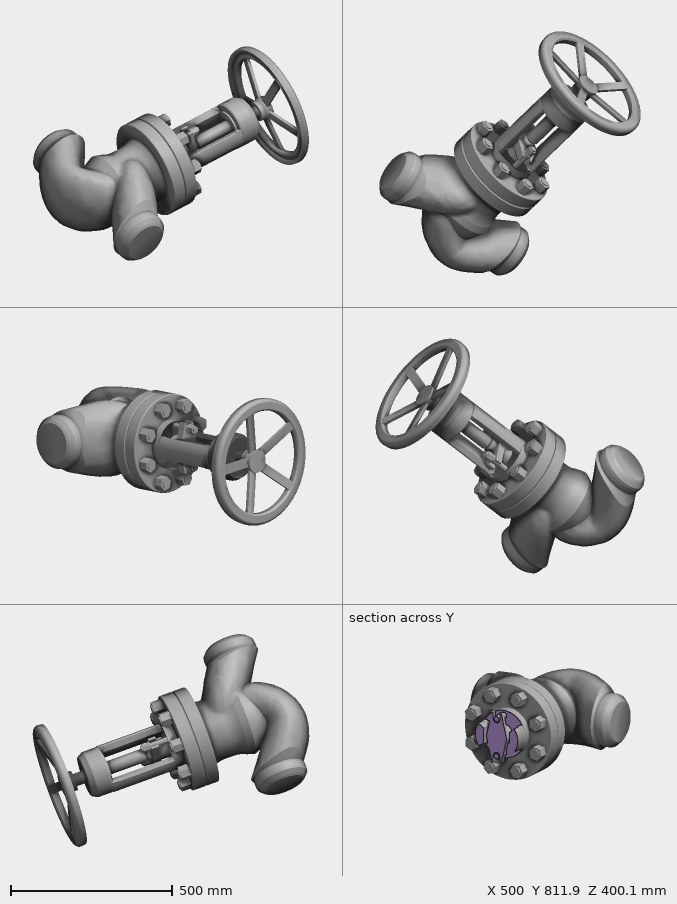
import cadquery as cq
import math


FACE_TO_FACE = 500.0
TOTAL_HEIGHT = 811.97
BODY_BOTTOM_Y = -145.0
TOP_Y = BODY_BOTTOM_Y + TOTAL_HEIGHT
OVERLAP = 1.0

WELD_FACE_R = 64.0
WELD_EDGE_R = 71.0
WELD_PIPE_R = 83.0
WELD_BAND_R = 84.5
WELD_EDGE_LEN = 5.0
WELD_BEVEL_LEN = 18.0
WELD_BAND_STEP = 9.0
WELD_BAND_LEN = 31.0
PIPE_TRIM_X = FACE_TO_FACE / 2 - WELD_BEVEL_LEN - WELD_BAND_LEN

SEAM_FILLET_R = 16.0
SEAM_REACH = 150.0

FLANGE_R = 155.5
FLANGE_THICK = 41.0
FLANGE_GAP = 3.0
FLANGE_BEVEL = 2.0
GASKET_R = 150.0
LOWER_FLANGE_Y = 179.5
UPPER_FLANGE_Y = LOWER_FLANGE_Y + FLANGE_THICK + FLANGE_GAP
FLANGE_TOP_Y = UPPER_FLANGE_Y + FLANGE_THICK

BOLT_COUNT = 8
BOLT_CIRCLE_R = 124.5
BOLT_R = 14.0
BOLT_NUT_CORNERS = 45.5
BOLT_NUT_HEIGHT = 32.0
BOLT_NUT_TURN = math.radians(-67.5)
BOLT_END = 4.0

BASE_R = 77.0
BASE_TOP_Y = 293.0
HEAD_R = 74.5
HEAD_BOTTOM_Y = 499.0
HEAD_TOP_Y = 568.0
HEAD_BEVEL_R = 10.0
HEAD_BEVEL_LEN = 18.0
HEAD_EDGE = 2.0
PAD_R = 52.0
PAD_THICK = 6.0
PAD_BORE_R = 28.0
LEG_OUTER_X = 77.0
LEG_CORNER_X = 65.0
LEG_LIP_X = 61.0
LEG_INNER_X = 45.0
LEG_HALF_Z = 35.0
LEG_INNER_HALF_Z = 25.0
LEG_COLLAR_LEN = 18.0
LEG_COLLAR_HALF_Z = 37.0
LEG_FOOT_LEN = 17.0
LEG_GUSSET = 12.0

STEM_R = 21.5
STEM_TIP_R = 14.0
STEM_TIP_Y = 367.0
STEM_TIP_LEN = 7.0
SPINDLE_R = 19.8
GLAND_BODY_R = 32.0
GLAND_PLATE_Y = 327.0
GLAND_PLATE_TOP_Y = 350.0
GLAND_PLATE_HALF_X = 37.0
GLAND_PLATE_HALF_Z = 80.0
GLAND_END_HALF_X = 18.0
GLAND_NECK_R = 22.0
GLAND_NECK_TOP_Y = 359.0
GLAND_SLOT_W = 22.0
GLAND_STUD_Z = 60.0
GLAND_STUD_R = 9.5
GLAND_STUD_TOP_Y = 380.0
GLAND_WASHER_R = 15.0
GLAND_WASHER_THICK = 5.0
GLAND_NUT_CORNERS = 28.0
GLAND_NUT_HEIGHT = 20.0

WHEEL_R = 200.0
WHEEL_INNER_R = 162.5
WHEEL_THICK = 30.0
WHEEL_BOTTOM_Y = TOP_Y - WHEEL_THICK
SPOKE_COUNT = 5
SPOKE_W = 28.0
HUB_BOTTOM_Y = 603.0
HUB_TOP_Y = 645.0
HUB_R = 32.0
HUB_FLARE_R = 36.0


def revolve_about_stem(profile):
    """Turn a closed (radius, Y) outline about the Y axis."""
    return profile.close().revolve(360, (0, 0, 0), (0, 1, 0))


def disc(radius, bottom_y, top_y):
    """Cylinder on the stem axis."""
    return post(radius, bottom_y, top_y, 0, 0)


def post(radius, bottom_y, top_y, x, z):
    """Cylinder parallel to the stem, centred on (x, z)."""
    plane = cq.Plane(origin=(x, bottom_y, z), xDir=(0, 0, 1), normal=(0, 1, 0))
    return cq.Workplane(plane).circle(radius).extrude(top_y - bottom_y)


def hex_nut(corners, bottom_y, height, x, z, corner_angle):
    """Hexagonal prism parallel to the stem with one corner at the given angle from +X to +Z."""
    corner_direction = (math.cos(corner_angle), 0, math.sin(corner_angle))
    plane = cq.Plane(origin=(x, bottom_y, z), xDir=corner_direction, normal=(0, 1, 0))
    return cq.Workplane(plane).polygon(6, corners).extrude(height)


def pipe_section(x, y, heading, half_in_plane, half_z):
    """Elliptical pipe section whose normal lies in the XY plane at the given heading."""
    angle = math.radians(heading)
    plane = cq.Plane(origin=(x, y, 0), xDir=(0, 0, 1),
                     normal=(math.cos(angle), math.sin(angle), 0))
    return cq.Workplane(plane).ellipse(half_z, half_in_plane).wires().val()


def pipe_through(stations):
    """Smooth pipe through stations of (x, y, heading, half_in_plane, half_z)."""
    wires = [pipe_section(*station) for station in stations]
    return cq.Workplane(cq.Solid.makeLoft(wires))


def weld_end():
    """Bevelled butt-weld end on the -X side."""
    face_x = -FACE_TO_FACE / 2
    taper_x = face_x + WELD_BEVEL_LEN
    return (
        cq.Workplane("XY")
        .moveTo(face_x, 0)
        .lineTo(face_x, WELD_FACE_R)
        .lineTo(face_x + WELD_EDGE_LEN, WELD_EDGE_R)
        .lineTo(taper_x, WELD_PIPE_R)
        .lineTo(taper_x + WELD_BAND_STEP, WELD_BAND_R)
        .lineTo(-PIPE_TRIM_X - WELD_BAND_STEP, WELD_BAND_R)
        .lineTo(-PIPE_TRIM_X, WELD_PIPE_R)
        .lineTo(-PIPE_TRIM_X, 0)
        .close()
        .revolve(360, (0, 0, 0), (1, 0, 0))
    )


def pipe_envelope():
    """Space between the weld ends, coned at 45 degrees, that trims both pipe ends."""
    return (
        cq.Workplane("XY")
        .moveTo(-PIPE_TRIM_X, 0)
        .lineTo(-PIPE_TRIM_X, WELD_PIPE_R)
        .lineTo(0, WELD_PIPE_R + PIPE_TRIM_X)
        .lineTo(PIPE_TRIM_X, WELD_PIPE_R)
        .lineTo(PIPE_TRIM_X, 0)
        .close()
        .revolve(360, (0, 0, 0), (1, 0, 0))
    )


def inlet_elbow():
    """Flattened pipe that dips below the axis and curls up under the seat."""
    return pipe_through([
        (-245, 31, -32, 73, 93),
        (-187, -6, -33, 72, 102),
        (-126, -49, -30, 71, 113),
        (-62, -73.5, 3, 71.5, 120),
        (-8, -50, 45, 74, 118),
        (25, -6, 68, 72, 108),
        (34, 55, 90, 60, 86),
    ])


def outlet_pipe():
    """Flattened straight pipe rising from the outlet into the neck."""
    return pipe_through([
        (245, -29, 148, 74, 93),
        (160, 24, 148, 72, 106.5),
        (75, 77, 148, 70, 120.5),
        (0, 124, 148, 50, 86),
    ])


def waist_arc_middle(waist_r, waist_y, end_r, end_y):
    """Middle of an arc that leaves the waist parallel to the stem and ends at (end_r, end_y)."""
    rise = end_y - waist_y
    step = end_r - waist_r
    arc_r = (rise ** 2 + step ** 2) / (2 * step)
    half_turn = math.asin(rise / arc_r) / 2
    return waist_r + arc_r * (1 - math.cos(half_turn)), waist_y + arc_r * math.sin(half_turn)


def neck():
    """Waisted neck between the pipe bodies and the lower flange."""
    flare_r = 107.0
    shoulder_r = 100.0
    shoulder_y = 159.5
    waist_r = 97.0
    waist_top_y = 132.0
    waist_bottom_y = 107.0
    belly_r = 107.0
    belly_y = 66.0
    skirt_r = 114.0
    skirt_y = 42.0
    bottom_r = 92.0
    bottom_y = -14.0
    profile = (
        cq.Workplane("ZY")
        .moveTo(0, bottom_y)
        .lineTo(bottom_r, bottom_y)
        .lineTo(skirt_r, skirt_y)
        .lineTo(belly_r, belly_y)
        .threePointArc(waist_arc_middle(waist_r, waist_bottom_y, belly_r, belly_y),
                       (waist_r, waist_bottom_y))
        .lineTo(waist_r, waist_top_y)
        .threePointArc(waist_arc_middle(waist_r, waist_top_y, shoulder_r, shoulder_y),
                       (shoulder_r, shoulder_y))
        .lineTo(flare_r, LOWER_FLANGE_Y + OVERLAP)
        .lineTo(0, LOWER_FLANGE_Y + OVERLAP)
    )
    return revolve_about_stem(profile)


def blend_seam(casting):
    """Round the free-form edges where the outlet pipe runs into the neck."""
    def is_seam(edge):
        box = edge.BoundingBox()
        return edge.geomType() == "BSPLINE" and -SEAM_REACH < box.xmin and box.xmax < SEAM_REACH

    seam = [edge for edge in casting.edges().vals() if is_seam(edge)]
    return cq.Workplane(casting.val().fillet(SEAM_FILLET_R, seam))


def valve_body():
    inlet_end = weld_end()
    outlet_end = inlet_end.mirror("YZ")
    envelope = pipe_envelope()
    inlet = inlet_elbow().intersect(envelope)
    outlet = outlet_pipe().intersect(envelope)
    neck_and_outlet = blend_seam(neck().union(outlet))
    return neck_and_outlet.union(inlet).union(inlet_end).union(outlet_end)


def flanges():
    lower = disc(FLANGE_R, LOWER_FLANGE_Y, LOWER_FLANGE_Y + FLANGE_THICK).edges().chamfer(FLANGE_BEVEL)
    upper = disc(FLANGE_R, UPPER_FLANGE_Y, FLANGE_TOP_Y).edges().chamfer(FLANGE_BEVEL)
    gasket = disc(GASKET_R, LOWER_FLANGE_Y + OVERLAP, FLANGE_TOP_Y - OVERLAP)
    return lower.union(upper).union(gasket)


def flange_bolts():
    nut_top_y = FLANGE_TOP_Y + BOLT_NUT_HEIGHT
    bolts = cq.Workplane("XY")
    for index in range(BOLT_COUNT):
        angle = 2 * math.pi * (index + 0.5) / BOLT_COUNT
        x = BOLT_CIRCLE_R * math.cos(angle)
        z = BOLT_CIRCLE_R * math.sin(angle)
        start_y = FLANGE_TOP_Y - OVERLAP
        nut = hex_nut(BOLT_NUT_CORNERS, start_y, BOLT_NUT_HEIGHT + OVERLAP, x, z, angle + BOLT_NUT_TURN)
        bolts = bolts.union(nut)
        bolts = bolts.union(post(BOLT_R, start_y, nut_top_y + BOLT_END, x, z))
    return bolts


def yoke_leg(side):
    """One leg (side = +1 or -1) with a rounded back and a bevelled inner face."""
    def outline(half_z, start_y, end_y):
        plane = cq.Plane(origin=(0, start_y, 0), xDir=(side, 0, 0), normal=(0, 1, 0))
        return (
            cq.Workplane(plane)
            .moveTo(LEG_INNER_X, -LEG_INNER_HALF_Z)
            .lineTo(LEG_LIP_X, -half_z)
            .lineTo(LEG_CORNER_X, -half_z)
            .threePointArc((LEG_OUTER_X, 0), (LEG_CORNER_X, half_z))
            .lineTo(LEG_LIP_X, half_z)
            .lineTo(LEG_INNER_X, LEG_INNER_HALF_Z)
            .close()
            .extrude(end_y - start_y)
        )

    leg = outline(LEG_HALF_Z, BASE_TOP_Y - OVERLAP, HEAD_BOTTOM_Y + OVERLAP)
    collar = outline(LEG_COLLAR_HALF_Z, HEAD_BOTTOM_Y - LEG_COLLAR_LEN, HEAD_BOTTOM_Y + OVERLAP)
    collar = collar.intersect(disc(HEAD_R, HEAD_BOTTOM_Y - LEG_COLLAR_LEN, HEAD_BOTTOM_Y + OVERLAP))
    foot = outline(LEG_COLLAR_HALF_Z, BASE_TOP_Y - OVERLAP, BASE_TOP_Y + LEG_FOOT_LEN)
    leg = leg.union(collar).union(foot)
    for end_y, direction in ((BASE_TOP_Y, 1), (HEAD_BOTTOM_Y - PAD_THICK, -1)):
        gusset = (
            cq.Workplane("XY", origin=(0, 0, -LEG_HALF_Z))
            .moveTo(side * LEG_LIP_X, end_y - direction * OVERLAP)
            .lineTo(side * (LEG_LIP_X - LEG_GUSSET), end_y - direction * OVERLAP)
            .lineTo(side * LEG_LIP_X, end_y + direction * LEG_GUSSET)
            .lineTo(side * (LEG_LIP_X + OVERLAP), end_y + direction * LEG_GUSSET)
            .lineTo(side * (LEG_LIP_X + OVERLAP), end_y - direction * OVERLAP)
            .close()
            .extrude(2 * LEG_HALF_Z)
        )
        leg = leg.union(gusset)
    return leg


def yoke_head():
    profile = (
        cq.Workplane("ZY")
        .moveTo(0, HEAD_BOTTOM_Y - PAD_THICK)
        .lineTo(PAD_R, HEAD_BOTTOM_Y - PAD_THICK)
        .lineTo(PAD_R, HEAD_BOTTOM_Y)
        .lineTo(HEAD_R - HEAD_EDGE, HEAD_BOTTOM_Y)
        .lineTo(HEAD_R, HEAD_BOTTOM_Y + 2 * HEAD_EDGE)
        .lineTo(HEAD_R, HEAD_TOP_Y - HEAD_BEVEL_LEN)
        .lineTo(HEAD_R - HEAD_BEVEL_R, HEAD_TOP_Y)
        .lineTo(0, HEAD_TOP_Y)
    )
    bore = disc(PAD_BORE_R, HEAD_BOTTOM_Y - PAD_THICK, HEAD_BOTTOM_Y)
    return revolve_about_stem(profile).cut(bore)


def yoke():
    base = disc(BASE_R, FLANGE_TOP_Y - OVERLAP, BASE_TOP_Y)
    return base.union(yoke_leg(1)).union(yoke_leg(-1)).union(yoke_head())


def stem():
    profile = (
        cq.Workplane("ZY")
        .moveTo(0, GLAND_PLATE_Y)
        .lineTo(STEM_TIP_R, GLAND_PLATE_Y)
        .lineTo(STEM_TIP_R, STEM_TIP_Y)
        .lineTo(STEM_R, STEM_TIP_Y + STEM_TIP_LEN)
        .lineTo(STEM_R, HEAD_TOP_Y + FLANGE_BEVEL)
        .lineTo(SPINDLE_R, HEAD_TOP_Y + 2 * FLANGE_BEVEL)
        .lineTo(SPINDLE_R, HUB_BOTTOM_Y + OVERLAP)
        .lineTo(0, HUB_BOTTOM_Y + OVERLAP)
    )
    return revolve_about_stem(profile)


def gland_plate():
    """Diamond-shaped plate with a slot open at each end for the studs."""
    plane = cq.Plane(origin=(0, GLAND_PLATE_Y, 0), xDir=(0, 0, 1), normal=(0, 1, 0))
    thickness = GLAND_PLATE_TOP_Y - GLAND_PLATE_Y
    plate = (
        cq.Workplane(plane)
        .moveTo(GLAND_PLATE_HALF_Z, -GLAND_END_HALF_X)
        .lineTo(GLAND_PLATE_HALF_Z, GLAND_END_HALF_X)
        .lineTo(0, GLAND_PLATE_HALF_X)
        .lineTo(-GLAND_PLATE_HALF_Z, GLAND_END_HALF_X)
        .lineTo(-GLAND_PLATE_HALF_Z, -GLAND_END_HALF_X)
        .lineTo(0, -GLAND_PLATE_HALF_X)
        .close()
        .extrude(thickness)
    )
    slots = (
        cq.Workplane(plane)
        .pushPoints([(GLAND_PLATE_HALF_Z, 0), (-GLAND_PLATE_HALF_Z, 0)])
        .slot2D(2 * (GLAND_PLATE_HALF_Z - GLAND_STUD_Z) + GLAND_SLOT_W, GLAND_SLOT_W)
        .extrude(thickness)
    )
    return plate.cut(slots)


def gland_stud(z):
    washer_top_y = GLAND_PLATE_TOP_Y + GLAND_WASHER_THICK
    stud = post(GLAND_STUD_R, BASE_TOP_Y - OVERLAP, GLAND_STUD_TOP_Y, 0, z)
    washer = post(GLAND_WASHER_R, GLAND_PLATE_TOP_Y, washer_top_y, 0, z)
    nut = hex_nut(GLAND_NUT_CORNERS, washer_top_y, GLAND_NUT_HEIGHT, 0, z, math.pi / 2)
    return stud.union(washer).union(nut)


def gland():
    dome_rise = STEM_TIP_Y - GLAND_NECK_TOP_Y
    dome_step = GLAND_NECK_R - STEM_TIP_R
    diagonal = math.sqrt(0.5)
    body = disc(GLAND_BODY_R, BASE_TOP_Y - OVERLAP, GLAND_PLATE_Y + OVERLAP)
    neck_profile = (
        cq.Workplane("ZY")
        .moveTo(0, GLAND_PLATE_Y)
        .lineTo(GLAND_NECK_R, GLAND_PLATE_Y)
        .lineTo(GLAND_NECK_R, GLAND_NECK_TOP_Y)
        .threePointArc((STEM_TIP_R + dome_step * diagonal, GLAND_NECK_TOP_Y + dome_rise * diagonal),
                       (STEM_TIP_R, STEM_TIP_Y))
        .lineTo(0, STEM_TIP_Y)
    )
    assembly = body.union(gland_plate()).union(revolve_about_stem(neck_profile))
    for z in (GLAND_STUD_Z, -GLAND_STUD_Z):
        assembly = assembly.union(gland_stud(z))
    return assembly


def wheel_rim():
    """Rim with a bead outside, a recess on the underside and a rounded inner ring."""
    mid_y = WHEEL_BOTTOM_Y + WHEEL_THICK / 2
    floor_y = WHEEL_BOTTOM_Y + 10
    inner_y = WHEEL_BOTTOM_Y + 5
    profile = (
        cq.Workplane("ZY")
        .moveTo(WHEEL_INNER_R + 5, TOP_Y)
        .lineTo(WHEEL_R - 10, TOP_Y)
        .threePointArc((WHEEL_R - 3, TOP_Y - 5), (WHEEL_R, mid_y))
        .lineTo(WHEEL_R - 2, WHEEL_BOTTOM_Y)
        .lineTo(WHEEL_R - 6, WHEEL_BOTTOM_Y)
        .threePointArc((WHEEL_R - 12, floor_y - 6), (WHEEL_R - 15, floor_y))
        .lineTo(WHEEL_R - 22, floor_y)
        .lineTo(WHEEL_R - 30, inner_y)
        .lineTo(WHEEL_R - 34, inner_y)
        .lineTo(WHEEL_INNER_R, inner_y + 4)
        .lineTo(WHEEL_INNER_R, TOP_Y - 5)
    )
    return revolve_about_stem(profile)


def wheel_spoke(angle):
    """Spoke that rises from the hub to the rim and starts along +X before turning."""
    root_r = 15.0
    end_r = WHEEL_INNER_R + 3
    root_y = HUB_BOTTOM_Y + 19
    end_y = WHEEL_BOTTOM_Y + 18
    depth = 10.0
    return (
        cq.Workplane("XY", origin=(0, 0, -SPOKE_W / 2))
        .moveTo(root_r, root_y)
        .lineTo(end_r, end_y)
        .lineTo(end_r, end_y + depth)
        .lineTo(root_r, root_y + depth)
        .close()
        .extrude(SPOKE_W)
        .rotate((0, 0, 0), (0, 1, 0), angle)
    )


def wheel_hub():
    flare_y = HUB_BOTTOM_Y + 11
    profile = (
        cq.Workplane("ZY")
        .moveTo(0, HUB_BOTTOM_Y)
        .lineTo(HUB_R, HUB_BOTTOM_Y)
        .lineTo(HUB_R, flare_y)
        .lineTo(HUB_FLARE_R, flare_y + 9)
        .lineTo(HUB_FLARE_R, HUB_TOP_Y)
        .lineTo(0, HUB_TOP_Y)
    )
    return revolve_about_stem(profile)


def handwheel():
    wheel = wheel_rim().union(wheel_hub())
    for index in range(SPOKE_COUNT):
        wheel = wheel.union(wheel_spoke(index * 360 / SPOKE_COUNT))
    return wheel


result = (
    valve_body()
    .union(flanges())
    .union(flange_bolts())
    .union(yoke())
    .union(stem())
    .union(gland())
    .union(handwheel())
)